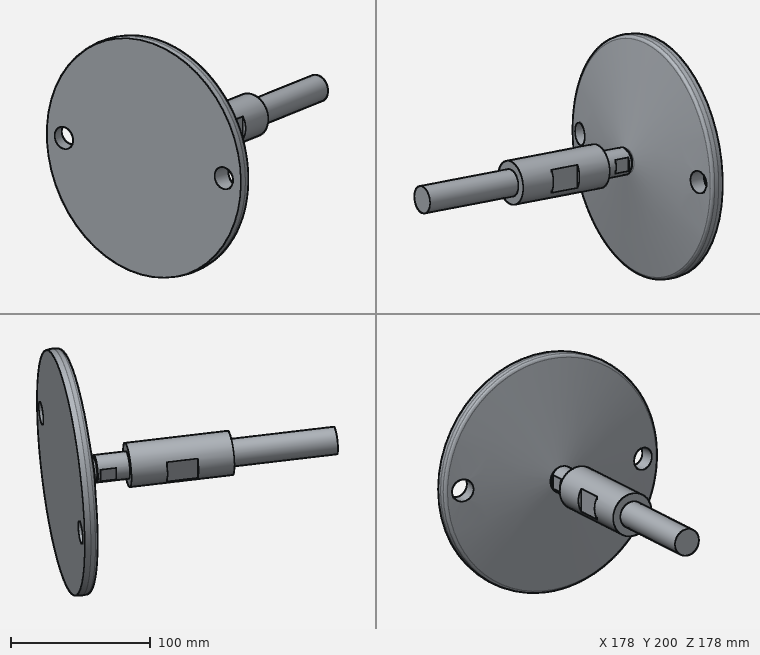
import cadquery as cq
import math


rim_radius = 89.0
rim_ridge_height = 4.2
underside_radius = 88.5
shoulder_radius = 88.5
shoulder_height = 9.5
shoulder_fillet = 2.5
selection_margin = 0.2
foot_top_radius = 9.0
foot_height = 22.8

hole_diameter = 16.5
hole_offset = 72.8
cone_angle = math.degrees(
    math.atan2(foot_height - shoulder_height, shoulder_radius - foot_top_radius)
)

total_height = 200.0
spindle_radius = 10.0
spindle_shoulder = 25.2
spindle_flat_bottom = 27.2
spindle_flat_top = 38.5
spindle_across_flats = 17.2

neck_radius = 7.5
bead_radius = 1.0
bead_height = (foot_height + spindle_shoulder) / 2

sleeve_radius = 16.0
sleeve_bottom = 48.5
sleeve_length = 75.0
sleeve_flat_bottom = 74.5
sleeve_flat_length = 22.5
sleeve_across_flats = 27.0


def cylinder(radius, bottom, top):
    """Solid cylinder on the Y axis between two heights."""
    return cq.Workplane(
        cq.Solid.makeCylinder(radius, top - bottom, cq.Vector(0, bottom, 0), cq.Vector(0, 1, 0))
    )


def cut_flats(body, body_radius, across_flats, bottom, top):
    """Cut a pair of parallel wrench flats facing -X and +X."""
    depth = body_radius - across_flats / 2
    for side in (-1, 1):
        cutter = cq.Workplane().box(2 * depth, top - bottom, 2 * body_radius).translate(
            (side * (across_flats / 2 + depth), (bottom + top) / 2, 0)
        )
        body = body.cut(cutter)
    return body


def make_foot():
    """Conical foot plate with a double-tapered rim and two slanted fixing holes."""
    profile = [
        (0, 0),
        (underside_radius, 0),
        (rim_radius, rim_ridge_height),
        (shoulder_radius, shoulder_height),
        (foot_top_radius, foot_height),
        (0, foot_height),
    ]
    foot = cq.Workplane("XY").polyline(profile).close().revolve(360, (0, 0, 0), (0, 1, 0))
    shoulder = cq.selectors.BoxSelector(
        (-rim_radius, shoulder_height - selection_margin, -rim_radius),
        (rim_radius, shoulder_height + selection_margin, rim_radius),
    )
    foot = foot.edges(shoulder).fillet(shoulder_fillet)

    lean = math.radians(cone_angle)
    for side in (-1, 1):
        direction = cq.Vector(side * math.sin(lean), math.cos(lean), 0)
        start = cq.Vector(side * hole_offset, 0, 0) - direction * foot_height
        drill = cq.Solid.makeCylinder(hole_diameter / 2, 2 * foot_height, start, direction)
        foot = foot.cut(cq.Workplane(drill))
    return foot


def make_spindle():
    """Round spindle with wrench flats, standing on the foot by a beaded neck."""
    shank = cylinder(spindle_radius, spindle_shoulder, total_height)
    shank = cut_flats(
        shank, spindle_radius, spindle_across_flats, spindle_flat_bottom, spindle_flat_top
    )
    neck = cylinder(neck_radius, foot_height, spindle_shoulder)
    bead = cq.Solid.makeTorus(
        neck_radius, bead_radius, cq.Vector(0, bead_height, 0), cq.Vector(0, 1, 0)
    )
    return shank.union(neck).union(cq.Workplane(bead))


def make_sleeve():
    """Tubular sleeve fitted around the spindle, with its own wrench flats."""
    sleeve_top = sleeve_bottom + sleeve_length
    sleeve = cylinder(sleeve_radius, sleeve_bottom, sleeve_top)
    sleeve = sleeve.cut(cylinder(spindle_radius, sleeve_bottom, sleeve_top))
    return cut_flats(
        sleeve,
        sleeve_radius,
        sleeve_across_flats,
        sleeve_flat_bottom,
        sleeve_flat_bottom + sleeve_flat_length,
    )


foot = make_foot()
spindle = make_spindle()
sleeve = make_sleeve()

result = cq.Compound.makeCompound([foot.val(), spindle.val(), sleeve.val()])